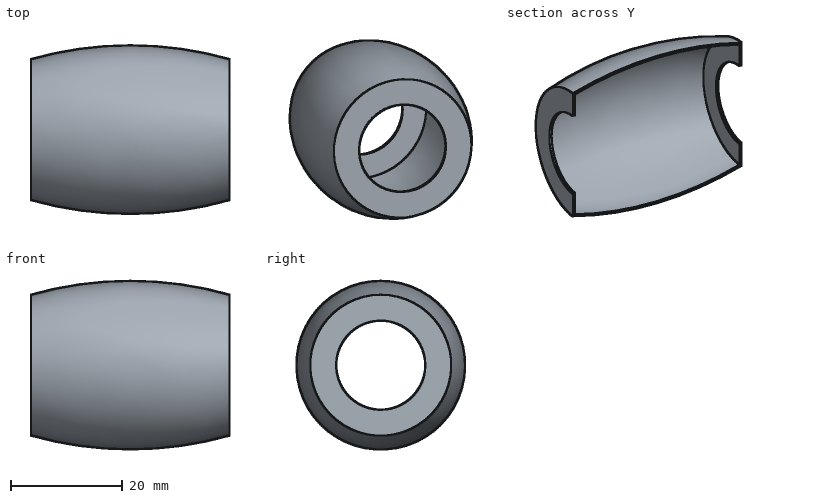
import cadquery as cq
import math

length = 35.83
end_diameter = 25.4
middle_diameter = 30.43
bore_diameter = 16.0
wall = 0.5

half_length = length / 2
end_radius = end_diameter / 2
middle_radius = middle_diameter / 2
bore_radius = bore_diameter / 2

crown_rise = middle_radius - end_radius
crown_radius = (half_length**2 + crown_rise**2) / (2 * crown_rise)
crown_centre = middle_radius - crown_radius


def barrel(half_span, crown):
    """Solid barrel whose side is an arc of the given radius about the crown centre."""
    edge_radius = crown_centre + math.sqrt(crown**2 - half_span**2)
    peak_radius = crown_centre + crown
    section = (
        cq.Workplane("XZ")
        .moveTo(-half_span, 0)
        .lineTo(-half_span, edge_radius)
        .threePointArc((0, peak_radius), (half_span, edge_radius))
        .lineTo(half_span, 0)
        .close()
    )
    return section.revolve(360, (0, 0, 0), (1, 0, 0))


def bore():
    """Round hole through both end walls."""
    return cq.Workplane("YZ").circle(bore_radius).extrude(half_length, both=True)


outer_body = barrel(half_length, crown_radius)
cavity = barrel(half_length - wall, crown_radius - wall)

result = outer_body.cut(cavity).cut(bore())